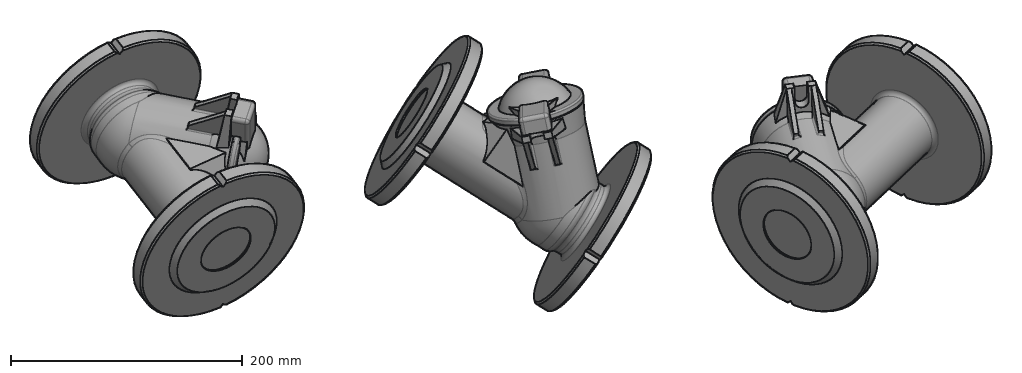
import cadquery as cq
import math

length = 200.0
bore_diameter = 50.0
bore_depth = 1.5
outlet_diameter = 63.0
inlet_diameter = 70.0

flange_diameter = 165.0
flange_thickness = 14.8
flange_chamfer = 1.5
raised_height = 5.0
raised_face_diameter = 98.0
raised_root_diameter = 108.0
neck_fillet = 4.0
notch_depth = 4.5

chamber_x = -50.5
chamber_diameter = 78.8
outlet_fillet = 8.0
shoulder_start_x = -72.8
shoulder_end_x = -62.5
shoulder_radius = 39.2

branch_angle = 45.0
flare_start = 70.0
flare_end = 89.2
flare_radius = 42.0
cover_radius = 42.5
cover_top = 95.5
cover_edge_fillet = 1.5
dome_diameter = 70.0
dome_center = 81.2

lug_bottom = 81.2
lug_root_bottom = 76.5
lug_top = 87.2
lug_reach = 65.5
lug_half_width = 13.2
lug_root_half_width = 24.0
lug_root_reach = 31.5
slot_width = 12.0
slot_floor = 45.0

rib_spacing = 21.8
rib_width = 4.5
rib_start = 48.5
rib_start_reach = 41.5
rib_root_reach = 28.0
rib_fillet = 1.5
rib_foot_margin = 0.5

block_top = 102.8
block_reach = 62.0
block_fillet = 3.5
block_foot_top = 101.2
block_foot_reach = 35.0
block_foot_half_width = 21.5
block_foot_root = 20.0

web_reach = 32.0
web_start_y = 6.0
web_flat_end_x = 29.0
web_toe_x = 47.2
web_toe_reach = 8.0

half_length = length / 2
flange_back_x = half_length - raised_height - flange_thickness
chamber_radius = chamber_diameter / 2
axis_x = math.cos(math.radians(branch_angle))
axis_y = math.sin(math.radians(branch_angle))


def branch_side_plane(offset=0.0):
    """Plane holding the branch axis (local x) and Z (local y), shifted sideways by offset."""
    origin = (chamber_x + offset * axis_y, -offset * axis_x, 0)
    return cq.Plane(origin=origin, xDir=(axis_x, axis_y, 0), normal=(axis_y, -axis_x, 0))


def branch_cross_plane(height):
    """Plane square to the branch axis at a height along it; local y is Z."""
    origin = (chamber_x + height * axis_x, height * axis_y, 0)
    return cq.Plane(origin=origin, xDir=(-axis_y, axis_x, 0), normal=(axis_x, axis_y, 0))


def make_flange():
    """Flange at the -X end, with a conical raised face and V notches in the rim at +Z and -Z."""
    front_x = -half_length + raised_height
    disc = (
        cq.Workplane("YZ", origin=(front_x, 0, 0))
        .circle(flange_diameter / 2)
        .extrude(flange_thickness)
        .edges()
        .chamfer(flange_chamfer)
    )
    face_profile = [
        (-half_length, 0),
        (-half_length, raised_face_diameter / 2),
        (front_x, raised_root_diameter / 2),
        (front_x + flange_thickness / 2, raised_root_diameter / 2),
        (front_x + flange_thickness / 2, 0),
    ]
    face = cq.Workplane("XY").polyline(face_profile).close().revolve(360, (0, 0, 0), (1, 0, 0))
    flange = disc.union(face)
    for side in (1, -1):
        rim = side * flange_diameter / 2
        notch_outline = [
            (0, rim - side * notch_depth),
            (notch_depth, rim),
            (0, rim + side * notch_depth),
            (-notch_depth, rim),
        ]
        notch = (
            cq.Workplane("YZ", origin=(-half_length, 0, 0))
            .polyline(notch_outline)
            .close()
            .extrude(raised_height + flange_thickness)
        )
        flange = flange.cut(notch)
    return flange


def make_inlet():
    """Inlet neck with an S-shaped shoulder up to the chamber."""
    inlet_radius = inlet_diameter / 2
    mid_x = (shoulder_start_x + shoulder_end_x) / 2
    mid_radius = (inlet_radius + shoulder_radius) / 2
    return (
        cq.Workplane("XY")
        .moveTo(-flange_back_x, 0)
        .lineTo(-flange_back_x, inlet_radius + neck_fillet)
        .radiusArc((-flange_back_x + neck_fillet, inlet_radius), -neck_fillet)
        .lineTo(shoulder_start_x, inlet_radius)
        .tangentArcPoint((mid_x, mid_radius), relative=False)
        .tangentArcPoint((shoulder_end_x, shoulder_radius), relative=False)
        .lineTo(chamber_x, shoulder_radius)
        .lineTo(chamber_x, 0)
        .close()
        .revolve(360, (0, 0, 0), (1, 0, 0))
    )


def make_outlet():
    """Plain outlet pipe from the chamber to the +X flange."""
    outlet_radius = outlet_diameter / 2
    return (
        cq.Workplane("XY")
        .moveTo(chamber_x, 0)
        .lineTo(chamber_x, outlet_radius)
        .lineTo(flange_back_x - neck_fillet, outlet_radius)
        .radiusArc((flange_back_x, outlet_radius + neck_fillet), -neck_fillet)
        .lineTo(flange_back_x, 0)
        .close()
        .revolve(360, (0, 0, 0), (1, 0, 0))
    )


def make_barrel():
    """Branch barrel whose lower end is rounded to the chamber ball."""
    return (
        cq.Workplane(branch_side_plane())
        .moveTo(-chamber_radius, 0)
        .radiusArc((0, chamber_radius), chamber_radius)
        .lineTo(flare_end, chamber_radius)
        .lineTo(flare_end, 0)
        .close()
        .revolve(360, (0, 0, 0), (1, 0, 0))
    )


def make_tee():
    """Barrel and outlet joined and blended along the whole curve where they meet."""
    return make_barrel().union(make_outlet()).edges("%BSPLINE").fillet(outlet_fillet)


def add_ribs(body):
    """Add two sloping ribs on each Z side of the barrel, blended at their feet."""
    rib_profile = [
        (rib_start, rib_root_reach),
        (rib_start, rib_start_reach),
        (lug_bottom, lug_reach),
        (lug_top, lug_reach),
        (lug_top, rib_root_reach),
    ]
    for offset in (-rib_spacing / 2, rib_spacing / 2):
        rib = (
            cq.Workplane(branch_side_plane(offset))
            .polyline(rib_profile)
            .close()
            .extrude(rib_width / 2, both=True)
        )
        body = body.union(rib).union(rib.mirror("XY"))

    outer_foot = math.sqrt(chamber_radius**2 - ((rib_spacing + rib_width) / 2) ** 2) - rib_foot_margin
    inner_foot = math.sqrt(chamber_radius**2 - ((rib_spacing - rib_width) / 2) ** 2) + rib_foot_margin
    for low, high in ((outer_foot, inner_foot), (-inner_foot, -outer_foot)):
        feet = cq.selectors.BoxSelector((-half_length, -half_length, low), (half_length, half_length, high))
        body = body.edges(feet).fillet(rib_fillet)
    return body


def make_cap():
    """Flared mouth of the barrel, round cover plate and dome."""
    flare = (
        cq.Workplane(branch_side_plane())
        .polyline([(flare_start, 0), (flare_start, chamber_radius), (flare_end, flare_radius), (flare_end, 0)])
        .close()
        .revolve(360, (0, 0, 0), (1, 0, 0))
    )
    cover = (
        cq.Workplane(branch_cross_plane(flare_end))
        .circle(cover_radius)
        .extrude(cover_top - flare_end)
        .edges()
        .fillet(cover_edge_fillet)
    )
    dome = cq.Workplane(branch_cross_plane(dome_center)).sphere(dome_diameter / 2)
    return flare.union(cover).union(dome)


def make_tapered_plate(bottom, top, tip, root):
    """Plate across the branch, narrowing from root to tip on both Z sides; corners are (half width, reach)."""
    tip_width, tip_reach = tip
    root_width, root_reach = root
    outline = [
        (tip_width, tip_reach),
        (root_width, root_reach),
        (root_width, -root_reach),
        (tip_width, -tip_reach),
        (-tip_width, -tip_reach),
        (-root_width, -root_reach),
        (-root_width, root_reach),
        (-tip_width, tip_reach),
    ]
    return cq.Workplane(branch_cross_plane(bottom)).polyline(outline).close().extrude(top - bottom)


def make_lugs():
    """Slotted lugs on both Z sides, narrowing and thinning towards their outer ends."""
    plate = make_tapered_plate(
        lug_root_bottom, lug_top, (lug_half_width, lug_reach), (lug_root_half_width, lug_root_reach)
    )
    taper = (
        cq.Workplane(branch_side_plane())
        .polyline([(lug_root_bottom, lug_root_reach), (lug_bottom, lug_reach), (lug_top, lug_reach),
                   (lug_top, -lug_reach), (lug_bottom, -lug_reach), (lug_root_bottom, -lug_root_reach)])
        .close()
        .extrude(lug_root_half_width, both=True)
    )
    lugs = plate.intersect(taper)
    slot_radius = slot_width / 2
    for side in (1, -1):
        slot = (
            cq.Workplane(branch_cross_plane(lug_root_bottom))
            .moveTo(-slot_radius, side * lug_reach)
            .lineTo(-slot_radius, side * (slot_floor + slot_radius))
            .threePointArc((0, side * slot_floor), (slot_radius, side * (slot_floor + slot_radius)))
            .lineTo(slot_radius, side * lug_reach)
            .close()
            .extrude(lug_top - lug_root_bottom)
        )
        lugs = lugs.cut(slot)
    return lugs


def make_cover_blocks():
    """Rounded blocks that rise beside the dome, on both Z sides."""
    block = (
        cq.Workplane(branch_cross_plane(lug_top))
        .rect(2 * lug_half_width, 2 * block_reach)
        .extrude(block_top - lug_top)
        .faces("<Z or >Z or >(1, 1, 0)")
        .edges("not(<(1, 1, 0))")
        .fillet(block_fillet)
    )
    foot = make_tapered_plate(
        lug_top, block_foot_top, (lug_half_width, block_foot_reach), (block_foot_half_width, block_foot_root)
    )
    return block.union(foot)


def make_web():
    """Flat-sided web in the corner between branch and outlet, sloping off at its +X end."""
    profile = [
        (chamber_x, web_reach),
        (web_flat_end_x, web_reach),
        (web_toe_x, web_toe_reach),
        (web_toe_x, -web_toe_reach),
        (web_flat_end_x, -web_reach),
        (chamber_x, -web_reach),
    ]
    slab = cq.Workplane("XZ", origin=(0, web_start_y, 0)).polyline(profile).close().extrude(-half_length)
    corner = (
        cq.Workplane(branch_side_plane())
        .rect(2 * flare_end, 2 * web_reach)
        .extrude(half_length)
    )
    return slab.intersect(corner)


flange = make_flange()
result = add_ribs(make_tee()).union(make_inlet()).union(make_cap())
result = result.union(make_lugs()).union(make_cover_blocks()).union(make_web())
result = result.union(flange).union(flange.mirror("YZ"))

for end in (-1, 1):
    recess = (
        cq.Workplane("YZ", origin=(end * half_length, 0, 0))
        .circle(bore_diameter / 2)
        .extrude(-end * bore_depth)
    )
    result = result.cut(recess)